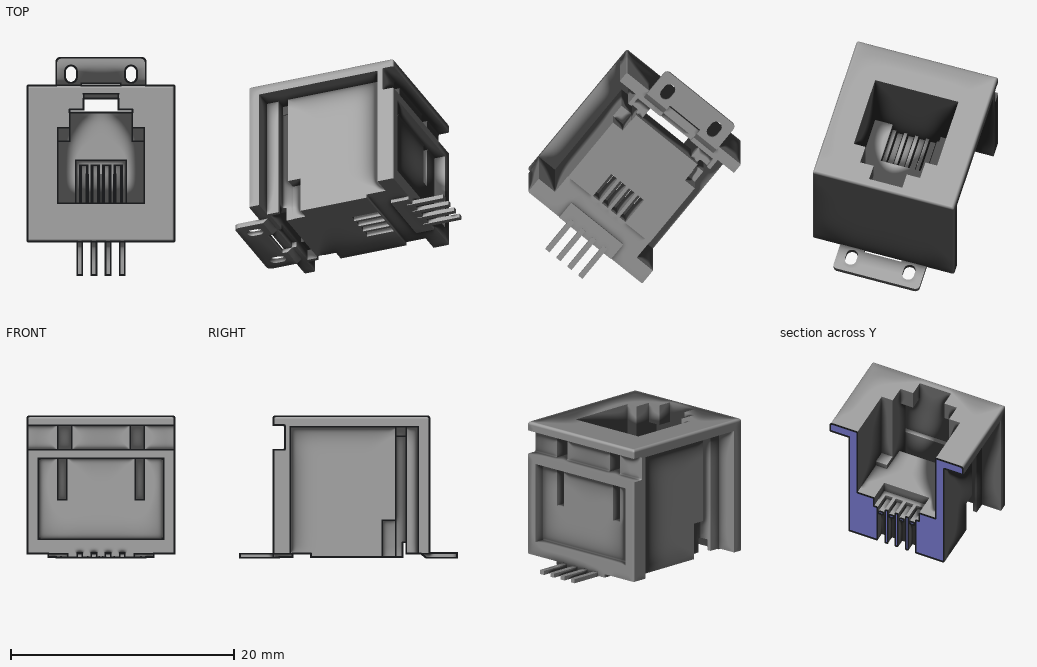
import cadquery as cq


WIDTH = 13.21
DEPTH = 14.0
HEIGHT = 12.32
TOP_RADIUS = 0.25
CORNER_RADIUS = 0.15
INNER_RADIUS = 0.13
HALF_CORE = 4.73
FRONT_FLANGE_Y = 1.53
BACK_FLANGE_Y = 13.0
TOP_FLANGE_Z = 11.34

GROOVE_FRONT_Y = 10.96
GROOVE_BACK_Y = 11.9
HALF_NECK = 3.55
NECK_FILLET = 0.2
LIP_NECK_STEP = 0.1
NOTCH_FRONT_Y = 9.75
NOTCH_STEP = 0.05
NOTCH_HEIGHT = 3.0

FOOT_DROP = 0.32
CORE_FOOT_FRONT_Y = 3.37
CORE_BACK_Y = 11.58
FRONT_FOOT_DEPTH = 1.73
HALF_FRONT_FOOT = 3.0

HALF_PLUG = 3.89
PLUG_FRONT_Y = 3.44
SHOULDER_Y = 10.19
HALF_NOSE = 2.8
NOSE_BACK_Y = 11.83
HALF_KEY = 1.55
KEY_BACK_Y = 13.23
FLOOR_Z = 4.8
STOP_FRONT_Y = 8.99
STOP_HEIGHT = 0.5

LIP_Z = 10.5
HALF_UNDERCUT = 4.37
UNDERCUT_HEIGHT = 1.0

PANEL_SLOT_DEPTH = 1.05
PANEL_SLOT_BOTTOM_Z = 9.3
PANEL_SLOT_TOP_Z = 11.5
HALF_RECESS = 5.6
RECESS_BOTTOM_Z = 1.26
RECESS_TOP_Z = 8.55
RECESS_DEPTH = PANEL_SLOT_DEPTH
POCKET_BACK_Y = 2.4
UPPER_POCKET_WIDTH = 1.26
LOWER_POCKET_WIDTH = 0.84
LOWER_POCKET_BOTTOM_Z = 4.8

CONTACT_COUNT = 4
WIRE_WIDTH = 0.48
CONTACT_PITCH = 1.02
HALF_COMB = 2.24
COMB_BACK_Y = 7.29
COMB_Z = 3.8
CONTACT_SLOT_WIDTH = 0.72
CONTACT_SLOT_BACK_Y = 6.84
CONTACT_SLOT_OPEN_Y = 6.02
CONTACT_STEP_Z = 2.8
CONTACT_TOP_Z = 3.4
CONTACT_THICKNESS = 0.38
CONTACT_EMBED = 0.2
PIN_PITCH = 1.27
PIN_LENGTH = 3.0
PIN_THICKNESS = 0.38
PIN_INNER_Y = 0.52
PIN_NOTCH_DEPTH = 0.3
PIN_NOTCH_Z = 0.06

HALF_PLATE = 4.02
PLATE_OVERHANG = 2.48
PLATE_BOTTOM_Z = -PIN_THICKNESS
PLATE_TOP_Z = 0.07
PLATE_CORNER_RADIUS = 0.42
PLATE_BEND_Y = 13.7
UPRIGHT_THICKNESS = 0.42
UPRIGHT_FRONT_Y = KEY_BACK_Y - UPRIGHT_THICKNESS
UPRIGHT_TOP_Z = 6.1
PLATE_GAP_TOP_Z = 0.5
HALF_PLATE_GAP = 1.75
PLATE_GAP_BACK_Y = 14.17
MOUNT_SLOT_X = 2.69
MOUNT_SLOT_Y = 15.0
MOUNT_SLOT_LENGTH = 1.53
MOUNT_SLOT_WIDTH = 1.04


def block(x0, x1, y0, y1, z0, z1):
    """Axis-aligned box between two opposite corners."""
    return cq.Workplane("XY").box(x1 - x0, y1 - y0, z1 - z0, centered=False).translate((x0, y0, z0))


def centred_block(half_width, y0, y1, z0, z1):
    """Box symmetric about X = 0."""
    return block(-half_width, half_width, y0, y1, z0, z1)


def both_sides(shape):
    """The shape together with its mirror image across X = 0."""
    return shape.union(shape.mirror("YZ"))


def row_positions(pitch):
    """X positions of an evenly spaced row centred on X = 0."""
    return [(i - (CONTACT_COUNT - 1) / 2) * pitch for i in range(CONTACT_COUNT)]


def make_shell():
    """Rounded outer block with its sides cut back to the core."""
    shell = centred_block(WIDTH / 2, 0, DEPTH, 0, HEIGHT)
    shell = shell.edges("|Z").fillet(CORNER_RADIUS)
    shell = shell.faces(">Z").edges().fillet(TOP_RADIUS)
    side = block(HALF_CORE, WIDTH, FRONT_FLANGE_Y, BACK_FLANGE_Y, 0, TOP_FLANGE_Z)
    return shell.cut(both_sides(side))


def add_feet(body):
    """Low feet that stand the core and the front flange off the board."""
    core_foot = centred_block(HALF_CORE, CORE_FOOT_FRONT_Y, CORE_BACK_Y, -FOOT_DROP, 0)
    front_foot = centred_block(HALF_FRONT_FOOT, 0, FRONT_FOOT_DEPTH, -FOOT_DROP, 0)
    return body.union(core_foot).union(front_foot)


def cut_side_grooves(body):
    """Stepped grooves behind the core, with a notch in the core at the foot of each."""
    groove = block(HALF_NECK, WIDTH, GROOVE_FRONT_Y, GROOVE_BACK_Y, -FOOT_DROP, LIP_Z)
    groove = groove.edges("|Z and <X and >Y").fillet(NECK_FILLET)
    upper_groove = block(
        HALF_NECK + LIP_NECK_STEP, WIDTH, GROOVE_FRONT_Y, GROOVE_BACK_Y, LIP_Z, TOP_FLANGE_Z
    )
    notch = block(HALF_NECK + NOTCH_STEP, WIDTH, NOTCH_FRONT_Y, GROOVE_FRONT_Y, -FOOT_DROP, NOTCH_HEIGHT)
    return body.cut(both_sides(groove.union(upper_groove).union(notch)))


def cut_plug_cavity(body):
    """Stepped plug opening, its floor stops, and the latch chamber behind it."""
    plug = centred_block(HALF_PLUG, PLUG_FRONT_Y, SHOULDER_Y, FLOOR_Z, HEIGHT)
    nose = centred_block(HALF_NOSE, SHOULDER_Y, NOSE_BACK_Y, FLOOR_Z, HEIGHT)
    key = centred_block(HALF_KEY, NOSE_BACK_Y, KEY_BACK_Y, LIP_Z, HEIGHT)
    stop = block(HALF_NOSE, HALF_PLUG, STOP_FRONT_Y, SHOULDER_Y, FLOOR_Z, FLOOR_Z + STOP_HEIGHT)
    latch = centred_block(HALF_NOSE, CORE_BACK_Y, UPRIGHT_FRONT_Y, -FOOT_DROP, LIP_Z)
    plate_slot = centred_block(HALF_PLATE, UPRIGHT_FRONT_Y, KEY_BACK_Y, 0, LIP_Z)
    undercut = centred_block(HALF_UNDERCUT, CORE_BACK_Y, UPRIGHT_FRONT_Y, -FOOT_DROP, UNDERCUT_HEIGHT)
    body = body.cut(plug.cut(both_sides(stop)))
    for opening in (nose, key, latch, plate_slot, undercut):
        body = body.cut(opening)
    return body


def cut_front_face(body):
    """Panel slot across the front, the framed recess below it, and their blind pockets."""
    slot = centred_block(WIDTH, 0, PANEL_SLOT_DEPTH, PANEL_SLOT_BOTTOM_Z, PANEL_SLOT_TOP_Z)
    slot = slot.edges("|X and >Y").fillet(INNER_RADIUS)
    recess = centred_block(HALF_RECESS, 0, RECESS_DEPTH, RECESS_BOTTOM_Z, RECESS_TOP_Z)
    recess = recess.faces(">Y").edges().fillet(INNER_RADIUS)
    upper_pocket = block(
        HALF_PLUG - UPPER_POCKET_WIDTH, HALF_PLUG, 0, POCKET_BACK_Y, PANEL_SLOT_BOTTOM_Z, PANEL_SLOT_TOP_Z
    )
    lower_pocket = block(
        HALF_PLUG - LOWER_POCKET_WIDTH, HALF_PLUG, 0, POCKET_BACK_Y, LOWER_POCKET_BOTTOM_Z, RECESS_TOP_Z
    )
    return body.cut(slot).cut(recess).cut(both_sides(upper_pocket)).cut(both_sides(lower_pocket))


def add_contacts(body):
    """Sunken comb in the cavity floor with one contact bar bridging each slot."""
    body = body.cut(centred_block(HALF_COMB, PLUG_FRONT_Y, COMB_BACK_Y, COMB_Z, FLOOR_Z))
    step = centred_block(
        CONTACT_SLOT_WIDTH / 2, PLUG_FRONT_Y, CONTACT_SLOT_BACK_Y, CONTACT_STEP_Z, COMB_Z
    )
    shaft = centred_block(
        CONTACT_SLOT_WIDTH / 2, PLUG_FRONT_Y, CONTACT_SLOT_OPEN_Y, -FOOT_DROP, CONTACT_STEP_Z
    )
    contact = centred_block(
        WIRE_WIDTH / 2,
        PLUG_FRONT_Y - CONTACT_EMBED,
        CONTACT_SLOT_BACK_Y + CONTACT_EMBED,
        CONTACT_TOP_Z - CONTACT_THICKNESS,
        CONTACT_TOP_Z,
    )
    for x in row_positions(CONTACT_PITCH):
        body = body.cut(step.union(shaft).translate((x, 0, 0)))
        body = body.union(contact.translate((x, 0, 0)))
    return body


def add_pins(body):
    """Solder pins leaving through notches in the front foot."""
    notch = centred_block(WIRE_WIDTH / 2, 0, PIN_NOTCH_DEPTH, -FOOT_DROP, PIN_NOTCH_Z)
    pin = centred_block(WIRE_WIDTH / 2, -PIN_LENGTH, PIN_INNER_Y, -PIN_THICKNESS, 0)
    for x in row_positions(PIN_PITCH):
        body = body.cut(notch.translate((x, 0, 0))).union(pin.translate((x, 0, 0)))
    return body


def make_plate():
    """Slotted plate bent up into the slot behind the latch chamber, split at the bend."""
    back_y = DEPTH + PLATE_OVERHANG
    profile = [
        (back_y, PLATE_BOTTOM_Z),
        (PLATE_BEND_Y, PLATE_BOTTOM_Z),
        (KEY_BACK_Y, 0),
        (UPRIGHT_FRONT_Y, 0),
        (UPRIGHT_FRONT_Y, UPRIGHT_TOP_Z),
        (KEY_BACK_Y, UPRIGHT_TOP_Z),
        (KEY_BACK_Y, PLATE_TOP_Z),
        (back_y, PLATE_TOP_Z),
    ]
    plate = cq.Workplane("YZ").polyline(profile).close().extrude(HALF_PLATE, both=True)
    plate = plate.edges("|Z and >Y").fillet(PLATE_CORNER_RADIUS)
    slots = (
        cq.Workplane("XY", origin=(0, 0, PLATE_BOTTOM_Z))
        .pushPoints([(-MOUNT_SLOT_X, MOUNT_SLOT_Y), (MOUNT_SLOT_X, MOUNT_SLOT_Y)])
        .slot2D(MOUNT_SLOT_LENGTH, MOUNT_SLOT_WIDTH, 90)
        .extrude(PLATE_TOP_Z - PLATE_BOTTOM_Z)
    )
    gap = centred_block(HALF_PLATE_GAP, UPRIGHT_FRONT_Y, PLATE_GAP_BACK_Y, PLATE_BOTTOM_Z, PLATE_GAP_TOP_Z)
    return plate.cut(slots).cut(gap)


body = make_shell()
body = add_feet(body)
body = cut_side_grooves(body)
body = cut_plug_cavity(body)
body = cut_front_face(body)
body = add_contacts(body)
body = add_pins(body)
result = body.union(make_plate())